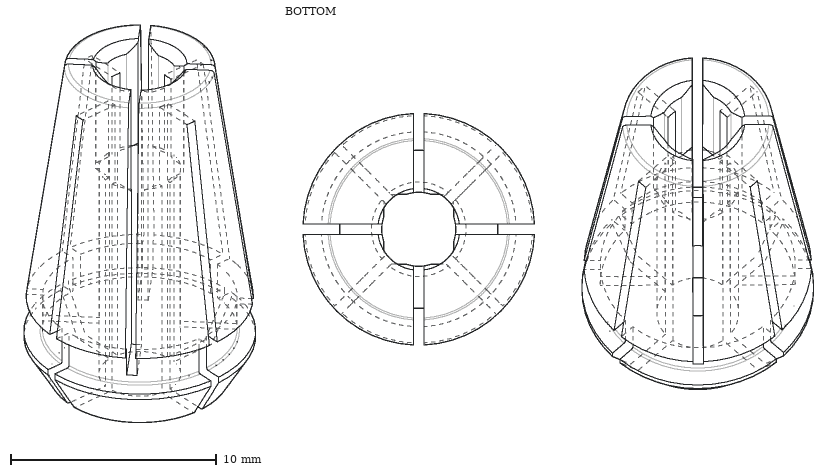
import cadquery as cq
import math

height = 18.0
flange_radius = 5.65
nose_half_angle = 30.0
body_half_angle = 8.0

flange_bottom = 2.18
flange_top = 2.5
cone_bottom = 4.5

neck_radius = 4.75
cone_base_radius = 5.55
neck_root_fillet = 0.1
nose_edge_fillet = 0.1
top_edge_fillet = 0.2

shank_radius = 2.0
square_side = 3.4
relief_radius = 1.8
square_length = 6.0
countersink_depth = 0.5

slot_width = 0.5
slot_end_margin = 1.5
top_slot_floor = 3.0


def make_body():
    """Revolve the outer profile: nose, flange, groove and collet cone."""
    nose_radius = flange_radius - flange_bottom * math.tan(math.radians(nose_half_angle))
    cone_height = height - cone_bottom
    top_radius = cone_base_radius - cone_height * math.tan(math.radians(body_half_angle))
    profile = (
        cq.Workplane("XZ")
        .lineTo(nose_radius, 0)
        .lineTo(flange_radius, flange_bottom)
        .lineTo(flange_radius, flange_top)
        .lineTo(neck_radius + neck_root_fillet, flange_top)
        .radiusArc((neck_radius, flange_top + neck_root_fillet), neck_root_fillet)
        .lineTo(neck_radius, cone_bottom)
        .lineTo(cone_base_radius, cone_bottom)
        .lineTo(top_radius, height)
        .lineTo(0, height)
        .close()
    )
    body = profile.revolve(360, (0, 0), (0, 1))
    body = body.edges("<Z").fillet(nose_edge_fillet)
    return body.edges(">Z").fillet(top_edge_fillet)


def make_bore():
    """Round shank hole, relieved square drive and the countersink at the top."""
    square_bottom = height - square_length
    shank_hole = cq.Workplane("XY").circle(shank_radius).extrude(square_bottom)
    drive = cq.Workplane("XY").workplane(offset=square_bottom)
    square = drive.rect(square_side, square_side).extrude(square_length)
    relief = drive.circle(relief_radius).extrude(square_length)
    countersink = cq.Workplane("XY").add(
        cq.Solid.makeCone(
            relief_radius,
            relief_radius + countersink_depth,
            countersink_depth,
            pnt=cq.Vector(0, 0, height - countersink_depth),
        )
    )
    return shank_hole.union(square).union(relief).union(countersink)


def make_slot(angle, bottom, top):
    """Slot through the full diameter, turned about Z by the given angle."""
    return (
        cq.Workplane("XY")
        .workplane(offset=bottom)
        .transformed(rotate=(0, 0, angle))
        .rect(2 * flange_radius + slot_width, slot_width)
        .extrude(top - bottom)
    )


result = make_body().cut(make_bore())
for slot_angle in (0, 90):
    result = result.cut(make_slot(slot_angle, 0, height - slot_end_margin))
    result = result.cut(make_slot(slot_angle + 45, top_slot_floor, height))